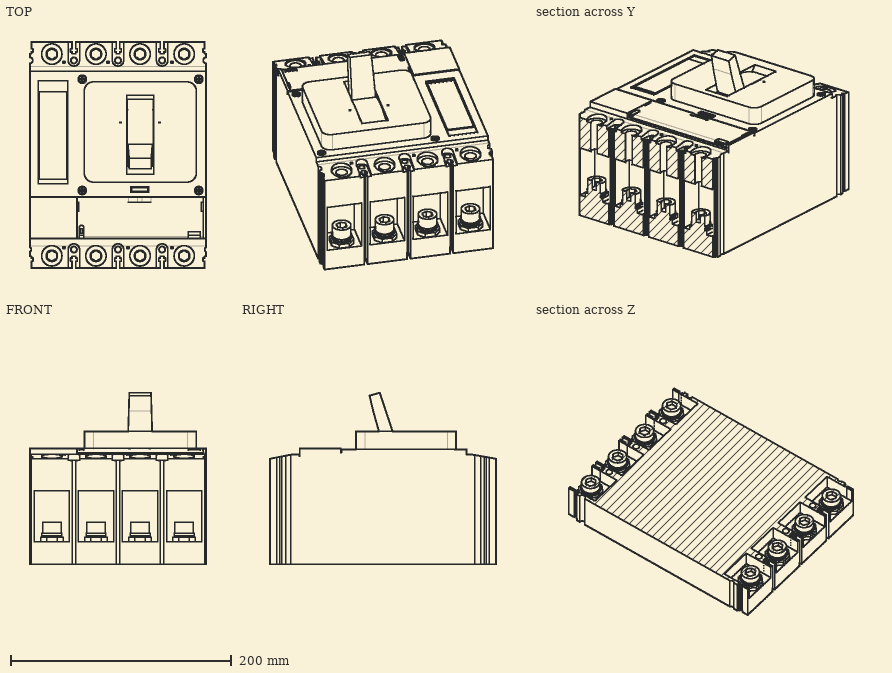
import cadquery as cq
width = 160.0
length = 205.0
half_width = width / 2
half_length = length / 2

top_z = 104.1
shoulder_z = 99.6
end_z = 95.7
deck_rear_y = 75.8
deck_front_y = -37.7
ledge_y = -75.8
rear_slope_y = 80.4
front_slope_y = -82.5

pole_count = 4
pole_pitch = 40.0
terminal_y = 91.5

frame_x = (-30.5, 71.0)
frame_y = (-24.5, 66.2)
frame_top_z = 120.5
frame_corner = 8.2

slot_x = (8.0, 32.2)
slot_top_y = (-17.6, 54.3)
slot_floor_y = (-7.2, 40.8)
slot_floor_z = 102.5
toggle_side_gap = 0.5
drum_axis_y = 26.6
drum_axis_z = 56.8
drum_radius = 63.1

lever_centre_x = 20.0
lever_root_width = 23.0
lever_tip_width = 19.9
lever_outline = [(14.8, 102.5), (-2.9, 155.5), (-12.3, 153.0), (-9.0, 139.0), (1.2, 102.5)]

trip_top_z = 105.0
trip_groove = 0.5
rear_groove_z = 101.3
front_groove_z = 97.8
trip_back = deck_front_y - trip_groove
trip_front = ledge_y + trip_groove
cover_x = (-37.3, 77.3)
cover_seat_z = 101.3
cover_side_gap = 0.2

recess_x = (-72.2, -45.7)
recess_y = (-26.0, 67.5)
recess_depth = 1.0
plate_side_gap = 0.8
plate_y = (-22.1, 57.2)

pole_xs = [(i - (pole_count - 1) / 2) * pole_pitch for i in range(pole_count)]
divider_xs = [(i - (pole_count - 2) / 2) * pole_pitch for i in range(pole_count - 1)]
ends = (1, -1)


def block(x, y, z):
    """A box given by its (low, high) limits along each axis."""
    return cq.Workplane("XY").box(
        x[1] - x[0], y[1] - y[0], z[1] - z[0], centered=False
    ).translate((x[0], y[0], z[0]))


def disc(x, y, radius, z):
    """An upright cylinder between the two heights in z."""
    return cq.Workplane("XY").workplane(offset=z[0]).center(x, y).circle(radius).extrude(z[1] - z[0])


def along_x(outline, x):
    """A prism along X from (y, z) points."""
    return cq.Workplane("YZ").polyline(outline).close().extrude(x[1] - x[0]).translate((x[0], 0, 0))


def end_span(end, inner, outer):
    """The (low, high) Y limits of a stretch lying toward one end."""
    return tuple(sorted((end * inner, end * outer)))


def housing_block():
    outline = [
        (-half_length, 0), (half_length, 0), (half_length, end_z),
        (rear_slope_y, shoulder_z), (deck_rear_y, shoulder_z), (deck_rear_y, top_z),
        (deck_front_y, top_z), (deck_front_y, rear_groove_z), (trip_back, rear_groove_z),
        (trip_back, trip_top_z), (trip_front, trip_top_z), (trip_front, front_groove_z),
        (ledge_y, front_groove_z), (ledge_y, shoulder_z), (front_slope_y, shoulder_z),
        (-half_length, end_z),
    ]
    return along_x(outline, (-half_width, half_width))


def toggle_frame():
    frame = block(frame_x, frame_y, (top_z, frame_top_z))
    return frame.edges("|Z").fillet(frame_corner)


def toggle_slot_outline():
    return [
        (slot_top_y[0], frame_top_z), (slot_floor_y[0], slot_floor_z),
        (slot_floor_y[1], slot_floor_z), (slot_top_y[1], frame_top_z),
    ]


divider_half = 1.54
cross_half = 2.9
cross_inner_y = 93.5
cross_outer_y = 96.1
divider_inner_y = 91.8
post_hole_y = 85.7
post_hole_radius = 2.7
side_groove_offset = 1.5
pocket_half = 5.1
pocket_floor_z = 94.3


def divider_slot(x, end):
    slot_y = end_span(end, divider_inner_y, half_length)
    cross_y = end_span(end, cross_inner_y, cross_outer_y)
    slot = block((x - divider_half, x + divider_half), slot_y, (0, top_z))
    cross = block((x - cross_half, x + cross_half), cross_y, (0, top_z))
    return slot.union(cross)


def divider_pocket(x, end):
    straight = block(
        (x - pocket_half, x + pocket_half), end_span(end, post_hole_y, half_length), (pocket_floor_z, top_z)
    )
    return straight.union(disc(x, end * post_hole_y, pocket_half, (pocket_floor_z, top_z)))


def cut_dividers(body):
    for end in ends:
        for x in divider_xs:
            body = body.cut(divider_slot(x, end)).cut(divider_pocket(x, end))
            body = body.cut(disc(x, end * post_hole_y, post_hole_radius, (0, top_z)))
        for side in (-1, 1):
            groove_x = side * (half_width + (side_groove_offset if end < 0 else 0))
            body = body.cut(divider_slot(side * half_width, end))
            body = body.cut(disc(groove_x, end * post_hole_y, post_hole_radius, (0, top_z)))
    return body


chamber_half = 16.0
chamber_depth = 28.3
chamber_z = (20.5, 66.6)
counterbore_radius = 9.2
counterbore_floor_z = 95.3
access_radius = 5.1


def cut_terminals(body):
    for end in ends:
        chamber_y = end_span(end, half_length - chamber_depth, half_length)
        for x in pole_xs:
            body = body.cut(block((x - chamber_half, x + chamber_half), chamber_y, chamber_z))
            body = body.cut(disc(x, end * terminal_y, counterbore_radius, (counterbore_floor_z, shoulder_z)))
            body = body.cut(disc(x, end * terminal_y, access_radius, (chamber_z[1], shoulder_z)))
    return body


nut_side = 20.5
nut_chamfer = 5.5
nut_top_z = 24.4
neck_radius = 8.5
washer_radius = 9.0
washer_z = (25.8, 28.0)
head_top_z = 38.3
socket_corners = 9.8
socket_turn = 30.0
socket_floor_z = 30.1


def terminal_screw(x, y):
    half_nut = nut_side / 2
    nut = block((x - half_nut, x + half_nut), (y - half_nut, y + half_nut), (chamber_z[0], nut_top_z))
    screw = nut.edges("|Z").chamfer(nut_chamfer)
    screw = screw.union(disc(x, y, neck_radius, (nut_top_z, head_top_z)))
    screw = screw.union(disc(x, y, washer_radius, washer_z))
    socket = (
        cq.Workplane("XY").polygon(6, socket_corners).extrude(head_top_z - socket_floor_z)
        .rotate((0, 0, 0), (0, 0, 1), socket_turn).translate((x, y, socket_floor_z))
    )
    return screw.cut(socket)


pin_radius = 1.0
pin_depth = 2.0
pin_y = 84.0
pin_xs = {1: (-49.0, -9.0, 49.0), -1: (-49.0, 9.0, 49.0)}


def cut_pin_holes(body):
    for end in ends:
        for x in pin_xs[end]:
            body = body.cut(disc(x, end * pin_y, pin_radius, (shoulder_z - pin_depth, shoulder_z)))
    return body


deck_screw_xs = (-32.4, 73.2)
deck_screw_ys = (-32.2, 68.7)
deck_screw_bore = 3.7
deck_screw_radius = 3.0
deck_screw_depth = 1.0
cross_length = 4.5
cross_width = 1.0


def cut_deck_screws(body):
    z = (top_z - deck_screw_depth, top_z)
    for x in deck_screw_xs:
        for y in deck_screw_ys:
            body = body.cut(disc(x, y, deck_screw_bore, z).cut(disc(x, y, deck_screw_radius, z)))
            for size_x, size_y in ((cross_length, cross_width), (cross_width, cross_length)):
                arm = block((x - size_x / 2, x + size_x / 2), (y - size_y / 2, y + size_y / 2), z)
                body = body.cut(arm)
    return body


indicator_x = (11.7, 27.7)
indicator_y = (-33.8, -29.0)
indicator_gap = 0.8
indicator_depth = 1.0
slit_xs = (2.3, 37.7)
slit_y = 29.5
slit_length = 1.5
slit_width = 0.6
slit_depth = 0.6


def cut_indicator_recess(body):
    return body.cut(block(indicator_x, indicator_y, (top_z - indicator_depth, top_z)))


def cut_slits(body):
    for x in slit_xs:
        slit = block(
            (x - slit_length / 2, x + slit_length / 2),
            (slit_y - slit_width / 2, slit_y + slit_width / 2),
            (frame_top_z - slit_depth, frame_top_z),
        )
        body = body.cut(slit)
    return body


def make_housing():
    body = housing_block().union(toggle_frame())
    body = body.cut(along_x(toggle_slot_outline(), slot_x))
    body = body.cut(block(recess_x, recess_y, (top_z - recess_depth, top_z)))
    body = cut_terminals(cut_dividers(body))
    body = cut_slits(cut_indicator_recess(body))
    body = cut_deck_screws(cut_pin_holes(body))
    body = body.cut(block(cover_x, (trip_front, trip_back), (cover_seat_z, trip_top_z)))
    for end in ends:
        for x in pole_xs:
            body = body.union(terminal_screw(x, end * terminal_y))
    return body


def make_toggle():
    toggle_x = (slot_x[0] + toggle_side_gap, slot_x[1] - toggle_side_gap)
    drum = (
        cq.Workplane("YZ").center(drum_axis_y, drum_axis_z).circle(drum_radius)
        .extrude(toggle_x[1] - toggle_x[0]).translate((toggle_x[0], 0, 0))
        .intersect(along_x(toggle_slot_outline(), toggle_x))
    )
    lever_low_z = lever_outline[0][1]
    lever_high_z = max(z for _, z in lever_outline)
    flanks = (
        cq.Workplane("XZ")
        .polyline([
            (lever_centre_x - lever_root_width / 2, lever_low_z),
            (lever_centre_x + lever_root_width / 2, lever_low_z),
            (lever_centre_x + lever_tip_width / 2, lever_high_z),
            (lever_centre_x - lever_tip_width / 2, lever_high_z),
        ])
        .close().extrude(half_length, both=True)
    )
    lever = along_x(lever_outline, slot_x).intersect(flanks)
    return drum.union(lever)


def make_nameplate():
    plate_x = (recess_x[0] + plate_side_gap, recess_x[1] - plate_side_gap)
    return block(plate_x, plate_y, (top_z - recess_depth, top_z))


def make_indicator():
    return block(
        (indicator_x[0] + indicator_gap, indicator_x[1] - indicator_gap),
        (indicator_y[0] + indicator_gap, indicator_y[1] - indicator_gap),
        (top_z - indicator_depth, top_z),
    )


catch_x = (9.5, 29.7)
catch_depth_y = 4.5
catch_drop = 2.0
catch_floor_width = 4.0
catch_sag = 0.5
notch_width = 1.2
notch_y = (-51.0, -42.8)
notch_depth = 1.6
seal_slot_x = (-35.0, -31.0)
seal_slot_end_y = -63.8
seal_hole_x = (-34.2, -32.5)
seal_hole_y = (-70.7, -66.8)
tab_slot_x = (63.5, 74.6)
tab_slot_y = -69.7
slot_depth = 2.9
lip_y = -72.8
lip_top_z = 103.7


def finger_catch():
    """Shallow V in the rear edge, rounded along its bottom."""
    middle = (catch_x[0] + catch_x[1]) / 2
    floor_z = trip_top_z - catch_drop
    half_floor = catch_floor_width / 2
    profile = (
        cq.Workplane("XZ", origin=(0, trip_back, 0))
        .moveTo(catch_x[0], trip_top_z)
        .lineTo(middle - half_floor, floor_z)
        .threePointArc((middle, floor_z - catch_sag), (middle + half_floor, floor_z))
        .lineTo(catch_x[1], trip_top_z)
        .close()
    )
    return profile.extrude(catch_depth_y)


def make_trip_cover():
    low_x = cover_x[0] + cover_side_gap
    high_x = cover_x[1] - cover_side_gap
    nose_radius = (trip_top_z - cover_seat_z) / 2
    cover = (
        cq.Workplane("YZ", origin=(low_x, 0, 0))
        .moveTo(trip_back, cover_seat_z)
        .lineTo(trip_front + nose_radius, cover_seat_z)
        .threePointArc((trip_front, cover_seat_z + nose_radius), (trip_front + nose_radius, trip_top_z))
        .lineTo(trip_back, trip_top_z)
        .close().extrude(high_x - low_x)
    )
    cover = cover.cut(finger_catch())

    notch_z = (trip_top_z - notch_depth, trip_top_z)
    cover = cover.cut(block((low_x, low_x + notch_width + cover_side_gap), notch_y, notch_z))
    cover = cover.cut(block((high_x - notch_width - cover_side_gap, high_x), notch_y, notch_z))

    pocket_z = (trip_top_z - slot_depth, trip_top_z)
    seal_radius = (seal_slot_x[1] - seal_slot_x[0]) / 2
    seal_centre_y = seal_slot_end_y - seal_radius
    seal_centre_x = seal_slot_x[0] + seal_radius
    cover = cover.cut(block(seal_slot_x, (lip_y, seal_centre_y), pocket_z))
    cover = cover.cut(disc(seal_centre_x, seal_centre_y, seal_radius, pocket_z))
    cover = cover.cut(block(seal_hole_x, seal_hole_y, (cover_seat_z, trip_top_z)))
    cover = cover.cut(block(tab_slot_x, (lip_y, tab_slot_y), pocket_z))
    for x in (seal_slot_x, tab_slot_x):
        cover = cover.cut(block(x, (trip_front, lip_y), (lip_top_z, trip_top_z)))
    return cover


housing = make_housing()
toggle = make_toggle()
nameplate = make_nameplate()
indicator = make_indicator()
trip_cover = make_trip_cover()

result = cq.Compound.makeCompound([
    housing.val(), toggle.val(), nameplate.val(), indicator.val(), trip_cover.val(),
])